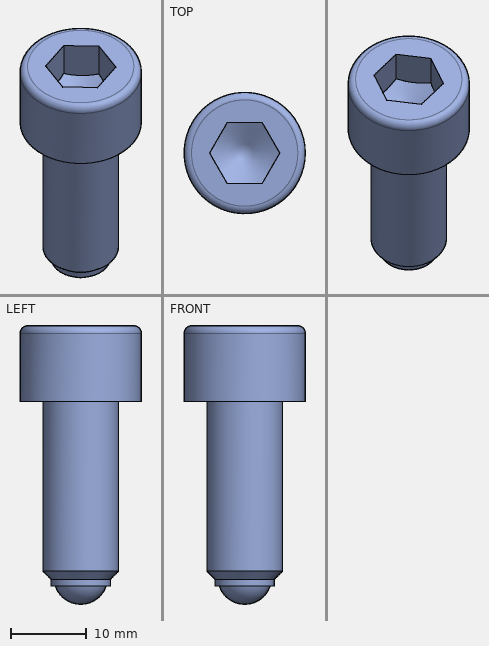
import cadquery as cq
import math

head_diameter = 16.0
head_height = 10.0
head_edge_radius = 1.0

socket_across_flats = 8.0
socket_across_corners = socket_across_flats / math.cos(math.radians(30))
socket_wall_depth = 5.0
socket_floor_cone_angle = 120.0

shank_diameter = 10.0
collar_diameter = 7.85
chamfer_height = (shank_diameter - collar_diameter) / 2
collar_height = 0.9

ball_diameter = 7.1
ball_protrusion = 2.4
overall_length = 36.7

ball_tip_z = head_height - overall_length
ball_center_z = ball_tip_z + ball_diameter / 2
collar_end_z = ball_tip_z + ball_protrusion
chamfer_end_z = collar_end_z + collar_height
shank_end_z = chamfer_end_z + chamfer_height
socket_floor_z = head_height - socket_wall_depth


def make_ball():
    """Ball seated in the collar, with its tip showing below the end face."""
    return cq.Workplane("XY", origin=(0, 0, ball_center_z)).sphere(ball_diameter / 2)


def make_screw_blank():
    """Turned outline of head, shank, end chamfer and collar, revolved about Z."""
    head_radius = head_diameter / 2
    shank_radius = shank_diameter / 2
    collar_radius = collar_diameter / 2
    blank = (
        cq.Workplane("XZ")
        .moveTo(0, head_height)
        .lineTo(head_radius, head_height)
        .lineTo(head_radius, 0)
        .lineTo(shank_radius, 0)
        .lineTo(shank_radius, shank_end_z)
        .lineTo(collar_radius, chamfer_end_z)
        .lineTo(collar_radius, collar_end_z)
        .lineTo(0, collar_end_z)
        .close()
        .revolve(360, (0, 0, 0), (0, 1, 0))
    )
    return blank.faces(">Z").edges().fillet(head_edge_radius)


def make_socket():
    """Hexagonal recess whose floor is a cone starting at the hexagon's corners."""
    hexagon = (
        cq.Workplane("XY")
        .workplane(offset=head_height)
        .polygon(6, socket_across_corners)
        .extrude(-head_height)
    )
    cone_radius = socket_across_corners / 2
    cone_depth = cone_radius / math.tan(math.radians(socket_floor_cone_angle / 2))
    drill = (
        cq.Workplane("XZ")
        .moveTo(0, head_height)
        .lineTo(cone_radius, head_height)
        .lineTo(cone_radius, socket_floor_z)
        .lineTo(0, socket_floor_z - cone_depth)
        .close()
        .revolve(360, (0, 0, 0), (0, 1, 0))
    )
    return hexagon.intersect(drill)


ball = make_ball()
screw = make_screw_blank().cut(make_socket()).cut(ball)

result = cq.Compound.makeCompound([screw.val(), ball.val()])